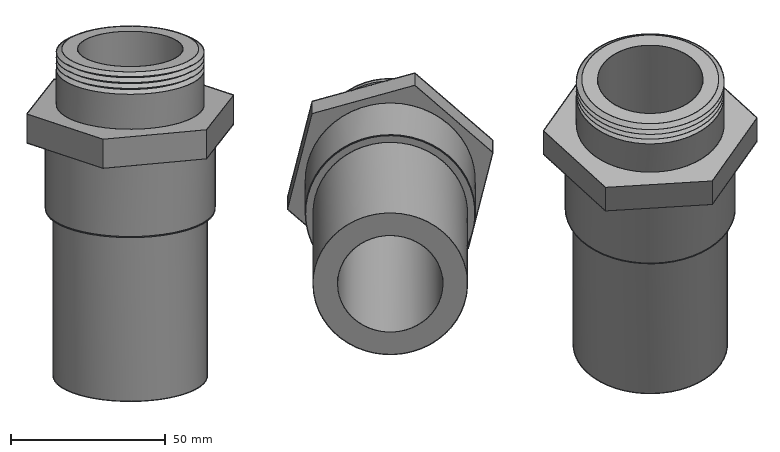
import cadquery as cq
import math

total_height = 112.0
hex_height = 10.0
hex_top = total_height - 19.0
hex_bottom = hex_top - hex_height
collar_bottom = total_height - 55.0

hex_across_flats = 60.0
bore_diameter = 34.0
tube_radius = 50.0 / 2
collar_radius = 55.0 / 2
spigot_radius = 47.8 / 2
collar_taper_height = 0.5
collar_taper_depth = 0.17

groove_pitch = 2.0
groove_depth = 1.8
crest_count = 4
root_radius = spigot_radius - groove_depth


def cylinder(radius, bottom, top):
    """Solid cylinder on the Z axis between two heights."""
    return cq.Workplane("XY").workplane(offset=bottom).circle(radius).extrude(top - bottom)


def tapered_collar():
    """Collar whose lower rim narrows slightly towards its end face."""
    profile = [
        (0, collar_bottom),
        (collar_radius - collar_taper_depth, collar_bottom),
        (collar_radius, collar_bottom + collar_taper_height),
        (collar_radius, hex_top),
        (0, hex_top),
    ]
    return cq.Workplane("XZ").polyline(profile).close().revolve(360, (0, 0), (0, 1))


def hex_flange():
    """Hexagon with flats facing +X and -X, corners on the Y axis."""
    across_corners = hex_across_flats / math.cos(math.radians(30))
    flange = cq.Workplane("XY").workplane(offset=hex_bottom).polygon(6, across_corners).extrude(hex_height)
    return flange.rotate((0, 0, 0), (0, 0, 1), 90)


def grooved_spigot():
    """Upper spigot revolved from a profile with V-shaped grooves."""
    profile = [(0, hex_bottom), (0, total_height)]
    for index in range(crest_count):
        root_z = total_height - index * groove_pitch
        profile.append((root_radius, root_z))
        profile.append((spigot_radius, root_z - groove_pitch / 2))
    profile.append((spigot_radius, hex_bottom))
    return cq.Workplane("XZ").polyline(profile).close().revolve(360, (0, 0), (0, 1))


tube = cylinder(tube_radius, 0, hex_top)
collar = tapered_collar()
bore = cylinder(bore_diameter / 2, 0, total_height)

result = tube.union(collar).union(hex_flange()).union(grooved_spigot()).cut(bore)